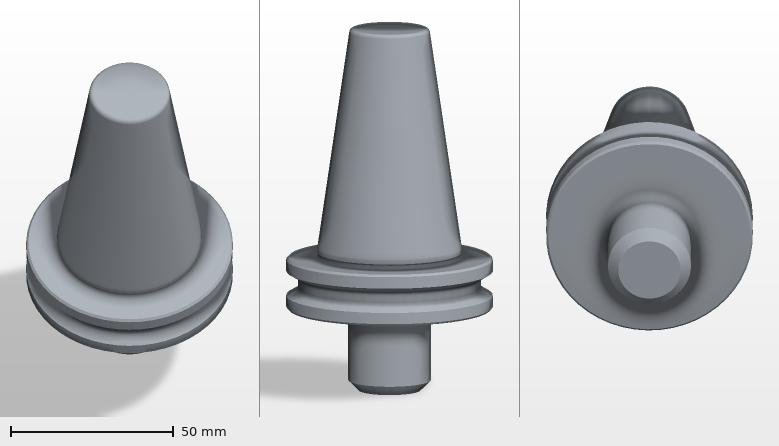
import cadquery as cq
import math

total_height = 112.7
flange_bottom = 25.4
flange_top = 41.4
taper_base = 44.3

taper_diameter = 44.4
taper_rate = 7 / 24
taper_tip_fillet = 1.4

collar_bottom = 42.9
relief_diameter = 43.5
relief_root_fillet = 0.9
relief_chamfer = (taper_diameter - relief_diameter) / 2

flange_diameter = 63.5
flange_edge_chamfer = 0.7
groove_diameter = 56.4
groove_floor_bottom = 31.5
groove_floor_top = 35.0
groove_wall_angle = 30
groove_corner_fillet = 0.8

shank_diameter = 25.5
shank_chamfer = 3.2
shank_root_fillet = 2.9

flange_radius = flange_diameter / 2
groove_radius = groove_diameter / 2
groove_flare = (flange_radius - groove_radius) * math.tan(math.radians(groove_wall_angle))
taper_radius = taper_diameter / 2
relief_radius = relief_diameter / 2
shank_radius = shank_diameter / 2
tip_radius = taper_radius - (total_height - taper_base) * taper_rate / 2

profile = (
    cq.Workplane("XZ")
    .moveTo(0, 0)
    .lineTo(shank_radius - shank_chamfer, 0)
    .lineTo(shank_radius, shank_chamfer)
    .lineTo(shank_radius, flange_bottom - shank_root_fillet)
    .radiusArc((shank_radius + shank_root_fillet, flange_bottom), shank_root_fillet)
    .lineTo(flange_radius - flange_edge_chamfer, flange_bottom)
    .lineTo(flange_radius, flange_bottom + flange_edge_chamfer)
    .lineTo(flange_radius, groove_floor_bottom - groove_flare)
    .lineTo(groove_radius, groove_floor_bottom)
    .lineTo(groove_radius, groove_floor_top)
    .lineTo(flange_radius, groove_floor_top + groove_flare)
    .lineTo(flange_radius, flange_top - flange_edge_chamfer)
    .lineTo(flange_radius - flange_edge_chamfer, flange_top)
    .lineTo(relief_radius + relief_root_fillet, flange_top)
    .radiusArc((relief_radius, flange_top + relief_root_fillet), relief_root_fillet)
    .lineTo(relief_radius, collar_bottom - relief_chamfer)
    .lineTo(taper_radius, collar_bottom)
    .lineTo(taper_radius, taper_base)
    .lineTo(tip_radius, total_height)
    .lineTo(0, total_height)
    .close()
)

body = profile.revolve(360, (0, 0, 0), (0, 1, 0))

groove_corners = cq.selectors.BoxSelector(
    (-groove_radius, -groove_radius, groove_floor_bottom - groove_corner_fillet),
    (groove_radius, groove_radius, groove_floor_top + groove_corner_fillet),
)
body = body.edges("%CIRCLE").edges(groove_corners).fillet(groove_corner_fillet)

result = body.faces(">Z").edges().fillet(taper_tip_fillet)